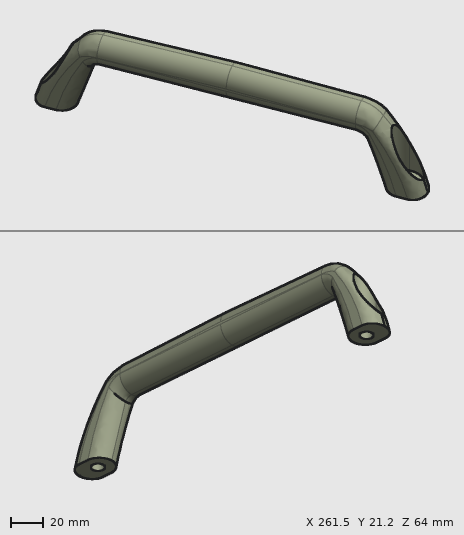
import cadquery as cq
import math

length = 261.5
width = 21.2
height = 64.0
half_length = length / 2
half_width = width / 2

grip_bottom = 41.0
grip_end_top = 62.5
grip_half_length = 86.3

foot_station = ((-half_length, 0), (-103.3, 0), 9.5, 10.5)
shin_station = ((-120.3, 27.5), (-97.3, 19.5), 8.4, 10.0)
knee_station = ((-101.0, 55.0), (-91.5, 38.2), 6.5, 9.0)
elbow_station = ((-94.1, 60.5), (-89.2, 40.3), 9.2, 10.0)
grip_end_station = ((-grip_half_length, grip_end_top), (-grip_half_length, grip_bottom), half_width, half_width)
grip_middle_station = ((0, height), (0, grip_bottom), half_width, half_width)

hole_x = -115.0
hole_diameter = 9.0
pocket_floor = 6.5
pocket_half_width = 8.5
pocket_inner_reach = 8.0
pocket_outer_reach = 12.5


def section(outer, inner, outer_depth, inner_depth):
    """Closed section in a plane containing Y, running from the outer to the inner point."""
    span_x = inner[0] - outer[0]
    span_z = inner[1] - outer[1]
    span = math.hypot(span_x, span_z)
    plane = cq.Plane(
        origin=(outer[0], 0, outer[1]),
        xDir=(span_x, 0, span_z),
        normal=(-span_z, 0, span_x),
    )
    flank_start = outer_depth
    flank_end = span - inner_depth
    return (
        cq.Workplane(plane)
        .moveTo(flank_start, -half_width)
        .lineTo(flank_end, -half_width)
        .ellipseArc(inner_depth, half_width, 270, 360, startAtCurrent=True)
        .ellipseArc(inner_depth, half_width, 0, 90, startAtCurrent=True)
        .lineTo(flank_start, half_width)
        .ellipseArc(outer_depth, half_width, 90, 180, startAtCurrent=True)
        .ellipseArc(outer_depth, half_width, 180, 270, startAtCurrent=True)
        .close()
        .val()
    )


def loft(*stations, ruled=False):
    return cq.Solid.makeLoft([section(*station) for station in stations], ruled)


def screw_pocket():
    """Vertical pocket: round towards the grip, elongated towards the end of the handle."""
    return (
        cq.Workplane("XY", origin=(hole_x, 0, pocket_floor))
        .moveTo(0, -pocket_half_width)
        .threePointArc((pocket_inner_reach, 0), (0, pocket_half_width))
        .ellipseArc(pocket_outer_reach, pocket_half_width, 90, 270, startAtCurrent=True)
        .close()
        .extrude(height)
    )


def screw_hole():
    return cq.Workplane("XY").center(hole_x, 0).circle(hole_diameter / 2).extrude(height)


leg = loft(foot_station, shin_station, knee_station)
elbow = loft(knee_station, elbow_station, grip_end_station)
half_grip = loft(grip_end_station, grip_middle_station, ruled=True)
left_half = cq.Workplane(leg).union(cq.Workplane(elbow)).union(cq.Workplane(half_grip))
left_half = left_half.cut(screw_pocket()).cut(screw_hole())

result = left_half.union(left_half.mirror("YZ"))